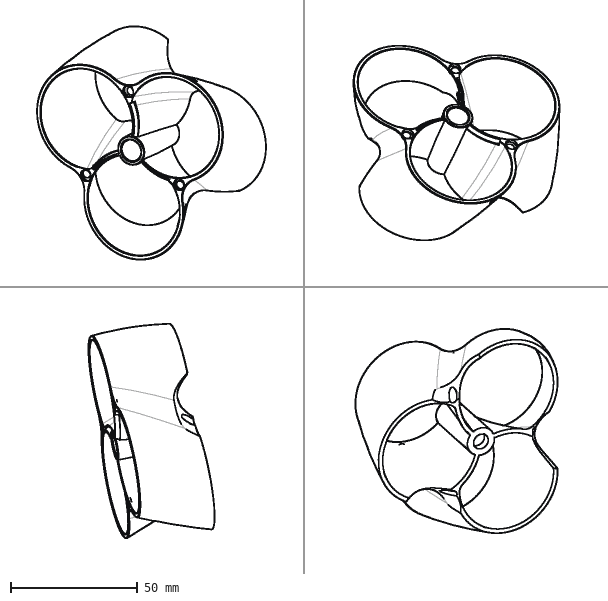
import cadquery as cq
import math

depth = 29.6
twist = 33.0
lobe_count = 3
lobe_pitch = 360 / lobe_count
first_lobe_angle = 33.0
lobe_offset = 22.4
ring_radius = 22.4
bore_radius = 20.55
bore_corner_radius = 4.35
rim_chamfer = 0.3

slab_height = 0.9

web_radius = 26.9
relief_depth = 6.5
relief_lead = 8.0
relief_radius = 13.5

blade_land = 1.0
blade_bevel_depth = 1.7

bolt_offset = 24.2
bolt_diameter = 3.3
bolt_seat_diameter = 4.7
bolt_seat_depth = 1.3

hub_diameter = 11.8
hub_mouth_diameter = 9.4
hub_bore_diameter = 8.6
hub_hole_diameter = 6.35
hub_shoulder = 3.5

half_pitch = math.radians(lobe_pitch / 2)
along = lobe_offset * math.cos(half_pitch)
across = lobe_offset * math.sin(half_pitch)
rise = web_radius - along
web_arc_radius = (rise**2 + across**2 - ring_radius**2) / (2 * (ring_radius - rise))
web_arc_offset = web_radius + web_arc_radius

lobe_angles = [first_lobe_angle + i * lobe_pitch for i in range(lobe_count)]
web_angles = [angle + lobe_pitch / 2 for angle in lobe_angles]


def polar(radius, angle):
    turn = math.radians(angle)
    return radius * math.cos(turn), radius * math.sin(turn)


def disc(offset, angle, radius, height=slab_height):
    return cq.Workplane("XY").center(*polar(offset, angle)).circle(radius).extrude(height)


def rim_cone(offset, angle, radius, growth):
    """Disc of the front rim whose radius grows by `growth` up to the front face."""
    cone = cq.Solid.makeCone(radius, radius + growth, rim_chamfer)
    return cq.Workplane(cone.translate(cq.Vector(*polar(offset, angle), -rim_chamfer)))


def twisted(section):
    """Sweep a slab's outline along the helix, from the back face to the chamfered rim."""
    start = section.rotate((0, 0, 0), (0, 0, 1), -twist).faces("<Z").wires().val()
    base = cq.Workplane("XY").add(start).toPending()
    return base.twistExtrude(depth - rim_chamfer, twist).translate((0, 0, -depth))


def web_block(angle):
    """Kite from the hub axis through two ring centres to the axis of the web arc."""
    corners = [
        (0, 0),
        polar(lobe_offset, angle - lobe_pitch / 2),
        polar(web_arc_offset, angle),
        polar(lobe_offset, angle + lobe_pitch / 2),
    ]
    return cq.Workplane("XY").polyline(corners).close()


def outer_section():
    section = cq.Workplane("XY")
    for angle in lobe_angles:
        section = section.union(disc(lobe_offset, angle, ring_radius))
    for angle in web_angles:
        web = web_block(angle).extrude(slab_height)
        section = section.union(web.cut(disc(web_arc_offset, angle, web_arc_radius)))
    return section.clean()


def outer_rim():
    rim = cq.Workplane("XY")
    for angle in lobe_angles:
        rim = rim.union(rim_cone(lobe_offset, angle, ring_radius, -rim_chamfer))
    for angle in web_angles:
        web = web_block(angle).extrude(-rim_chamfer)
        rim = rim.union(web.cut(rim_cone(web_arc_offset, angle, web_arc_radius, rim_chamfer)))
    return rim


def bore_section(angle):
    """Bore circle cut back by the full ring of the next lobe."""
    section = disc(lobe_offset, angle, bore_radius)
    section = section.cut(disc(lobe_offset, angle + lobe_pitch, ring_radius))
    return section.edges("|Z").fillet(bore_corner_radius)


def bore_rim(angle):
    """Straight end of a bore through the rim, with its mouth chamfered."""
    straight = bore_section(angle).translate((0, 0, -rim_chamfer))
    mouth = rim_cone(lobe_offset, angle, bore_radius, rim_chamfer)
    blade = disc(lobe_offset, angle + lobe_pitch, ring_radius, -rim_chamfer)
    corner = disc(bolt_offset, angle + lobe_pitch / 2, bolt_seat_diameter, -rim_chamfer)
    return straight.union(mouth.cut(blade).cut(corner))


def blade_bevel(angle):
    """Bevel on the front edge of the blade that borders one bore."""
    region = disc(lobe_offset, angle, bore_radius, -blade_bevel_depth)
    keep = (
        cq.Workplane("XY", origin=(0, 0, -blade_bevel_depth))
        .center(*polar(lobe_offset, angle + lobe_pitch))
        .circle(ring_radius)
        .workplane(offset=blade_bevel_depth)
        .circle(bore_radius + blade_land)
        .loft()
    )
    clearance = disc(bolt_offset, angle + lobe_pitch / 2, bolt_seat_diameter, -blade_bevel_depth)
    border = disc(lobe_offset, angle + lobe_pitch, ring_radius + blade_land, -blade_bevel_depth)
    return region.intersect(border).cut(keep).cut(clearance)


def back_relief(angle):
    slope = (relief_radius - web_arc_radius) / relief_depth
    cone = cq.Solid.makeCone(relief_radius, 0, relief_radius / slope)
    x, y = polar(web_arc_offset, angle - twist + relief_lead)
    return cone.translate(cq.Vector(x, y, -depth))


def bolt_hole(angle):
    """Hole that follows the twist, widened to a seat at the front face."""
    through = twisted(disc(bolt_offset, angle, bolt_diameter / 2))
    seat = disc(bolt_offset, angle, bolt_seat_diameter / 2, -bolt_seat_depth)
    return through.union(seat)


body = twisted(outer_section()).union(outer_rim())
for angle in lobe_angles:
    body = body.cut(twisted(bore_section(angle))).cut(bore_rim(angle))
for angle in lobe_angles:
    body = body.cut(blade_bevel(angle))

hub = disc(0, 0, hub_diameter / 2, -depth).faces(">Z").chamfer(rim_chamfer)
body = body.union(hub)
for angle in web_angles:
    body = body.cut(cq.Workplane(back_relief(angle)))
    body = body.cut(bolt_hole(angle))
body = body.cut(disc(0, 0, hub_hole_diameter / 2, -depth))
body = body.cut(disc(0, 0, hub_bore_diameter / 2, hub_shoulder - depth))
mouth_depth = (hub_mouth_diameter - hub_bore_diameter) / 2
mouth = cq.Solid.makeCone(hub_bore_diameter / 2, hub_mouth_diameter / 2, mouth_depth)
body = body.cut(cq.Workplane(mouth.translate(cq.Vector(0, 0, -mouth_depth))))

result = body.rotate((0, 0, 0), (1, 0, 0), 90)